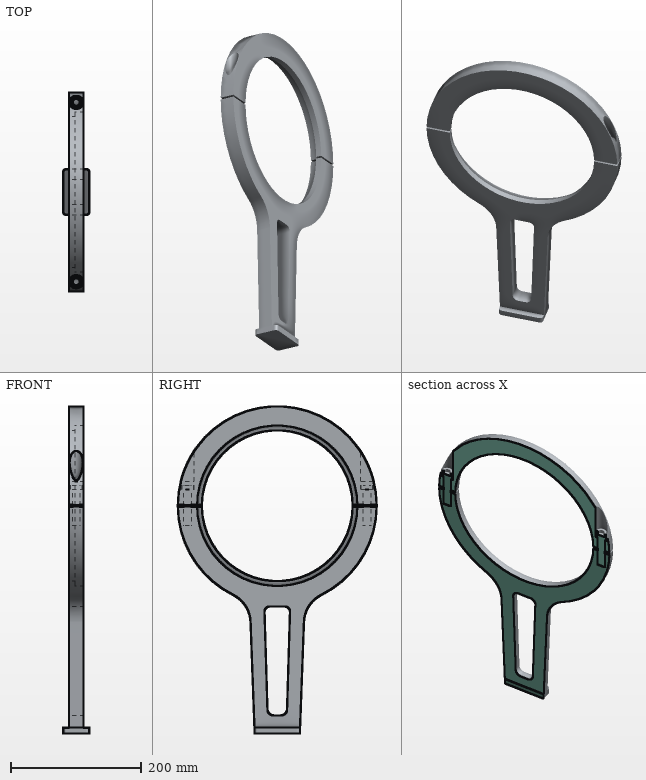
import cadquery as cq

total_height = 503.0
ring_radius = 153.0
bore_radius = 115.5
recess_radius = 123.0
lip_thickness = 9.0
ring_thickness = 22.5
split_gap = 3.0
ring_center_z = total_height - ring_radius

plate_thickness_x = 40.0
plate_width = 70.5
plate_height = 9.0
plate_corner_radius = 5.0

arm_bottom_half_width = plate_width / 2
arm_top_half_width = 41.0
arm_top_z = 172.5
arm_ring_fillet = 48.5

window_bottom_z = 28.0
window_top_z = 195.0
window_bottom_half_width = 14.5
window_top_half_width = 19.5
window_bottom_radius = 9.0
window_top_radius = 8.0

screw_offset_y = 138.0
shank_diameter = 12.0
shank_depth = 30.0
head_diameter = 17.5
head_height = 12.0
socket_diameter = 11.0
socket_depth = 6.0
counterbore_diameter = 20.0
counterbore_floor = 25.0
screw_positions_y = (-screw_offset_y, screw_offset_y)
shank_bottom_z = ring_center_z - shank_depth
head_bottom_z = ring_center_z + counterbore_floor
head_top_z = head_bottom_z + head_height


def x_prism(outline):
    """Extrude a closed YZ outline symmetrically about X = 0 to the ring thickness."""
    return outline.extrude(ring_thickness / 2, both=True)


def ring():
    circles = cq.Workplane("YZ").center(0, ring_center_z).circle(ring_radius).circle(bore_radius)
    return x_prism(circles)


def bore_recess():
    """Wider bore that leaves only a thin lip on the -X side of the ring."""
    floor = cq.Workplane("YZ", origin=(lip_thickness - ring_thickness / 2, 0, ring_center_z))
    return floor.circle(recess_radius).extrude(ring_thickness - lip_thickness)


def half_space(side):
    """Block covering everything above (side = 1) or below (side = -1) the split gap."""
    block_height = total_height
    block_center_z = ring_center_z + side * (split_gap + block_height) / 2
    block = cq.Workplane("XY").box(total_height, total_height, block_height)
    return block.translate((0, 0, block_center_z))


def arm_half_width(z):
    slope = (arm_top_half_width - arm_bottom_half_width) / (arm_top_z - plate_height)
    return arm_bottom_half_width + slope * (z - plate_height)


def arm():
    """Tapered web from the base plate up to the ring, trimmed to the bore."""
    top_z = ring_center_z - bore_radius
    top_half_width = arm_half_width(top_z)
    outline = cq.Workplane("YZ").polyline([
        (-arm_bottom_half_width, plate_height),
        (arm_bottom_half_width, plate_height),
        (top_half_width, top_z),
        (-top_half_width, top_z),
    ]).close()
    bore = x_prism(cq.Workplane("YZ").center(0, ring_center_z).circle(bore_radius))
    return x_prism(outline).cut(bore)


def window():
    outline = cq.Workplane("YZ").polyline([
        (-window_bottom_half_width, window_bottom_z),
        (window_bottom_half_width, window_bottom_z),
        (window_top_half_width, window_top_z),
        (-window_top_half_width, window_top_z),
    ]).close()
    prism = x_prism(outline)
    prism = prism.edges("|X and <Z").fillet(window_bottom_radius)
    return prism.edges("|X and >Z").fillet(window_top_radius)


def cylinder(diameter, y, bottom_z, top_z):
    base = cq.Workplane("XY", origin=(0, y, bottom_z))
    return base.circle(diameter / 2).extrude(top_z - bottom_z)


def shank(y):
    return cylinder(shank_diameter, y, shank_bottom_z, head_bottom_z)


def make_upper_clamp():
    body = ring().cut(bore_recess()).intersect(half_space(1))
    for y in screw_positions_y:
        body = body.cut(shank(y))
        body = body.cut(cylinder(counterbore_diameter, y, head_bottom_z, total_height))
    return body


def make_lower_clamp():
    body = ring().intersect(half_space(-1)).union(arm())
    junction = cq.selectors.BoxSelector(
        (-ring_thickness, -2 * arm_top_half_width, arm_top_z),
        (ring_thickness, 2 * arm_top_half_width, ring_center_z - bore_radius),
    )
    body = body.edges("|X").edges(junction).fillet(arm_ring_fillet)
    body = body.cut(window()).cut(bore_recess())
    for y in screw_positions_y:
        body = body.cut(shank(y))
    return body


def make_base_plate():
    plate = cq.Workplane("XY").rect(plate_thickness_x, plate_width).extrude(plate_height)
    return plate.edges("|Z").fillet(plate_corner_radius)


def make_screw(y):
    head = cylinder(head_diameter, y, head_bottom_z, head_top_z)
    socket = cylinder(socket_diameter, y, head_top_z - socket_depth, head_top_z)
    return shank(y).union(head).cut(socket)


upper_clamp = make_upper_clamp()
lower_clamp = make_lower_clamp()
base_plate = make_base_plate()
screws = [make_screw(y) for y in screw_positions_y]

result = cq.Compound.makeCompound([
    upper_clamp.val(),
    lower_clamp.val(),
    base_plate.val(),
    *[screw.val() for screw in screws],
])